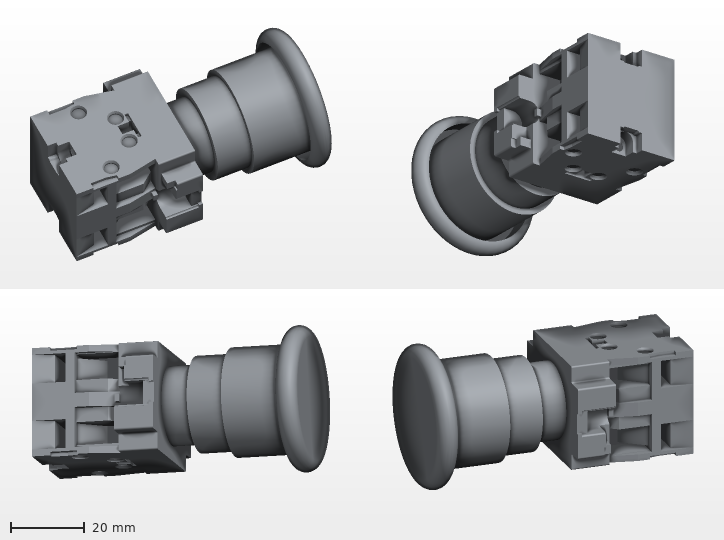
import cadquery as cq

SIDES = (-1, 1)

total_length = 75.0
collar_front_y = 24.4
collar_back_y = 35.3

head_dia = 40.0
head_radius = head_dia / 2
head_thickness = 6.0
rim_radius = head_thickness / 2
head_skin = 1.0
cap_radius, cap_front_y = 15.0, 53.0
ring_radius, ring_front_y = 13.3, 43.0
neck_radius = 10.9

housing_height = 30.0
collar_half = housing_height / 2
ear_tip_x = head_dia / 2
ear_half_height = 10.2
edge_fillet = 0.45
ear_fillet = 0.5

groove_radius = 3.3
groove_center_x = 16.2
groove_back_y = 32.25
groove_lip_y = 34.1
groove_wall_x = 19.05
groove_lip_half = 2.85

notch_depth = 2.9
stub_height = 2.55
stub_tip_x = 18.5
stub_front_y = 25.3
stub_gap = 0.4

block_half_width = 14.6
waist_half_width = 12.9
taper_start_y = 16.05

bay_front_y = 11.9
bay_inner_z, bay_outer_z = 1.95, 13.1
shelf_top_z = 5.85
shelf_ramp_y = 20.85
shelf_ramp_depth = 2.85
pocket_top_z = 12.2
pocket_low_z = 13.0
pocket_mouth_x, pocket_wall_x = 11.3, 6.0
pocket_ramp_end_y = 18.8

window_front_y, window_back_y = 6.0, 9.45
window_inner_z, window_outer_z = 5.2, 13.1

latch_depth = 1.0
latch_front_y, latch_bend_y, latch_back_y = 5.0, 9.6, 12.6
latch_back_x = 13.4
tab_length = 1.3
tab_height = 2.1

terminal_places = ((4.3, 20.6), (10.3, 12.4))
terminal_mouth_radius = 2.3
terminal_radius = 1.95
terminal_cone_depth = 0.7
terminal_depth = 1.05

screw_z = 12.6
screw_radius = 1.5
seat_radius = 2.4
seat_z = 11.9
seat_depth = 5.85
screw_slot_front_y = 19.95
head_slot_front_y = 23.3
head_slot_half_width = 4.3
head_slot_floor_z = 13.95
mouth_depth = 2.55
mouth_half_width = 3.6
mouth_floor_z = 9.9
mouth_groove_z = 9.5
mouth_groove_top_half = 2.6
mouth_groove_floor_half = 2.25


def box(x_range, y_range, z_range):
    """Axis-aligned box between pairs of coordinates given in either order."""
    (x0, x1), (y0, y1), (z0, z1) = (sorted(pair) for pair in (x_range, y_range, z_range))
    return cq.Workplane("XY").box(x1 - x0, y1 - y0, z1 - z0, centered=False).translate((x0, y0, z0))


def plan_prism(points, z_range):
    """Prism with an XY outline, between two heights given in either order."""
    z0, z1 = sorted(z_range)
    return cq.Workplane("XY", origin=(0, 0, z0)).polyline(points).close().extrude(z1 - z0)


def end_plane(y):
    """XZ plane at the given Y; extruding from it goes toward -Y."""
    return cq.Workplane("XZ", origin=(0, y, 0))


def rod(radius, y_range, z):
    """Round bar along Y at x = 0."""
    return end_plane(y_range[1]).center(0, z).circle(radius).extrude(y_range[1] - y_range[0])


def half_turn(shape):
    """The same shape turned half a revolution about the Y axis."""
    return shape.rotate((0, 0, 0), (0, 1, 0), 180)


def make_button():
    head_front_y = total_length - head_thickness
    recess_floor_y = total_length - head_skin
    flat_radius = head_radius - rim_radius
    return (
        cq.Workplane("XY")
        .moveTo(0, collar_front_y)
        .lineTo(neck_radius, collar_front_y)
        .lineTo(neck_radius, ring_front_y)
        .lineTo(ring_radius, ring_front_y)
        .lineTo(ring_radius, cap_front_y)
        .lineTo(cap_radius, cap_front_y)
        .lineTo(cap_radius, recess_floor_y)
        .lineTo(flat_radius, recess_floor_y)
        .lineTo(flat_radius, head_front_y)
        .threePointArc((head_radius, head_front_y + rim_radius), (flat_radius, total_length))
        .lineTo(0, total_length)
        .close()
        .revolve(360, (0, 0, 0), (0, 1, 0))
    )


def ear_groove():
    """Cutter for the groove of the +X ear, with a flared mouth and a narrow lip at the back."""
    mouth_half = groove_radius + ear_fillet
    flare_x = ear_tip_x - ear_fillet
    groove = (
        end_plane(groove_lip_y)
        .moveTo(ear_tip_x, mouth_half)
        .radiusArc((flare_x, groove_radius), -ear_fillet)
        .lineTo(groove_center_x, groove_radius)
        .threePointArc((groove_center_x - groove_radius, 0), (groove_center_x, -groove_radius))
        .lineTo(flare_x, -groove_radius)
        .radiusArc((ear_tip_x, -mouth_half), -ear_fillet)
        .close()
        .extrude(groove_lip_y - collar_front_y)
    )
    back_wall = box((0, groove_wall_x), (groove_back_y, groove_lip_y), (-mouth_half, mouth_half))
    lip = box(
        (groove_wall_x, ear_tip_x),
        (groove_lip_y, collar_back_y),
        (-groove_lip_half, groove_lip_half),
    )
    return groove.cut(back_wall).union(lip)


def ear_notch():
    """Cutter for the front of the +X ear above its groove, leaving the stub."""
    notch_back_y = collar_front_y + notch_depth
    stub_floor_z = ear_half_height - stub_height
    ear_z = (0, ear_half_height + edge_fillet)
    notch = box((collar_half, ear_tip_x), (collar_front_y, notch_back_y), ear_z)
    stub = box(
        (collar_half, stub_tip_x),
        (stub_front_y, notch_back_y),
        (stub_floor_z, ear_half_height + edge_fillet),
    )
    gap = box(
        (stub_tip_x, ear_tip_x),
        (notch_back_y, notch_back_y + stub_gap),
        (stub_floor_z, ear_half_height + edge_fillet),
    )
    return notch.cut(stub).union(gap)


def make_collar():
    collar_y = (collar_front_y, collar_back_y)
    body_reach = collar_half + edge_fillet / 2
    body = box((-collar_half, collar_half), collar_y, (-collar_half, collar_half))
    ears = box((-ear_tip_x, ear_tip_x), collar_y, (-ear_half_height, ear_half_height))
    ears = ears.edges("|Y").fillet(ear_fillet)
    collar = body.union(ears)
    inner_edges = cq.selectors.BoxSelector(
        (-body_reach, collar_front_y, -body_reach), (body_reach, collar_back_y, body_reach)
    )
    collar = collar.edges("|Y").edges(inner_edges).fillet(edge_fillet)
    for cutter in (ear_groove(), ear_notch()):
        collar = collar.cut(cutter).cut(half_turn(cutter))
    return collar.cut(rod(neck_radius, collar_y, 0))


def block_blank():
    right_edge = [
        (block_half_width, 0),
        (block_half_width, taper_start_y),
        (waist_half_width, collar_front_y),
    ]
    left_edge = [(-x, y) for x, y in reversed(right_edge)]
    return plan_prism(right_edge + left_edge, (-collar_half, collar_half))


def side_bays():
    """Cutter for the two bays of the +X flank: recess, shelf ramp and ramped pocket in each."""
    bay_y = (bay_front_y, collar_front_y)
    shelf_ramp = [
        (waist_half_width, shelf_ramp_y),
        (waist_half_width, collar_front_y),
        (waist_half_width - shelf_ramp_depth, collar_front_y),
    ]
    pocket = [
        (waist_half_width, bay_front_y),
        (pocket_mouth_x, bay_front_y),
        (pocket_wall_x, pocket_ramp_end_y),
        (pocket_wall_x, collar_front_y),
        (waist_half_width, collar_front_y),
    ]
    cutter = box((pocket_wall_x, waist_half_width), bay_y, (pocket_top_z, pocket_low_z))
    for side in SIDES:
        recess_z = (side * bay_inner_z, side * bay_outer_z)
        cutter = cutter.union(box((waist_half_width, block_half_width), bay_y, recess_z))
        cutter = cutter.union(plan_prism(shelf_ramp, (side * bay_inner_z, side * shelf_top_z)))
        cutter = cutter.union(plan_prism(pocket, (side * shelf_top_z, side * pocket_top_z)))
    return cutter


def windows(side):
    """Cutter for the window above or below the middle, with its two lead-ins."""
    lead_in = [
        (block_half_width, 0),
        (waist_half_width, window_front_y),
        (block_half_width, window_front_y),
    ]
    z_range = (side * window_inner_z, side * window_outer_z)
    cutter = box((-block_half_width, block_half_width), (window_front_y, window_back_y), z_range)
    for flank in SIDES:
        cutter = cutter.union(plan_prism([(flank * x, y) for x, y in lead_in], z_range))
    return cutter


def latch_recess(flank, side):
    outline = [
        (block_half_width, latch_front_y),
        (waist_half_width, latch_front_y),
        (waist_half_width, latch_bend_y),
        (latch_back_x, latch_back_y),
        (block_half_width, latch_back_y),
    ]
    z_range = (side * (collar_half - latch_depth), side * collar_half)
    return plan_prism([(flank * x, y) for x, y in outline], z_range)


def terminal_hole(x, y):
    """Cutter for one terminal hole in the top face."""
    cone_floor_z = collar_half - terminal_cone_depth
    cone = cq.Solid.makeCone(
        terminal_radius,
        terminal_mouth_radius,
        terminal_cone_depth,
        pnt=cq.Vector(x, y, cone_floor_z),
    )
    bottom_height = terminal_depth - terminal_cone_depth
    bottom = cq.Workplane("XY", origin=(x, y, collar_half - terminal_depth))
    return bottom.circle(terminal_radius).extrude(bottom_height).union(cq.Workplane(cone))


def screw_seat():
    """Cutter for the fixing screw seat below the top face."""
    top_z = collar_half

    def open_channel(radius, y_range, axis_z):
        """Channel with a half-round bottom, open to the top face."""
        return rod(radius, y_range, axis_z).union(box((-radius, radius), y_range, (axis_z, top_z)))

    hole = rod(screw_radius, (seat_depth, collar_front_y), screw_z)
    screw_slot = open_channel(screw_radius, (screw_slot_front_y, collar_front_y), screw_z)
    head_slot_y = (head_slot_front_y, collar_front_y)
    head_seat = open_channel(seat_radius, head_slot_y, seat_z)
    head_slot = box(
        (-head_slot_half_width, head_slot_half_width), head_slot_y, (head_slot_floor_z, top_z)
    )
    front_seat = open_channel(seat_radius, (0, seat_depth), seat_z)
    mouth = box((-mouth_half_width, mouth_half_width), (0, mouth_depth), (mouth_floor_z, top_z))
    mouth_groove = (
        end_plane(mouth_depth)
        .moveTo(-mouth_groove_top_half, mouth_floor_z)
        .lineTo(mouth_groove_top_half, mouth_floor_z)
        .lineTo(mouth_groove_floor_half, mouth_groove_z)
        .lineTo(-mouth_groove_floor_half, mouth_groove_z)
        .close()
        .extrude(mouth_depth)
    )
    cutter = hole
    for piece in (screw_slot, head_seat, head_slot, front_seat, mouth, mouth_groove):
        cutter = cutter.union(piece)
    return cutter


def locating_tab(flank):
    return box(
        (flank * waist_half_width, flank * block_half_width),
        (collar_front_y - tab_length, collar_front_y),
        (-tab_height / 2, tab_height / 2),
    )


def make_block():
    bays = side_bays()
    block = block_blank().cut(bays).cut(half_turn(bays))
    for side in SIDES:
        block = block.cut(windows(side))
        for flank in SIDES:
            block = block.cut(latch_recess(flank, side))
    top_cutters = [screw_seat()]
    for x, y in terminal_places:
        top_cutters += [terminal_hole(flank * x, y) for flank in SIDES]
    for cutter in top_cutters:
        block = block.cut(cutter).cut(half_turn(cutter))
    for flank in SIDES:
        block = block.union(locating_tab(flank))
    return block


button = make_button()
housing = make_collar().union(make_block())

result = cq.Compound.makeCompound([button.val(), *housing.vals()])